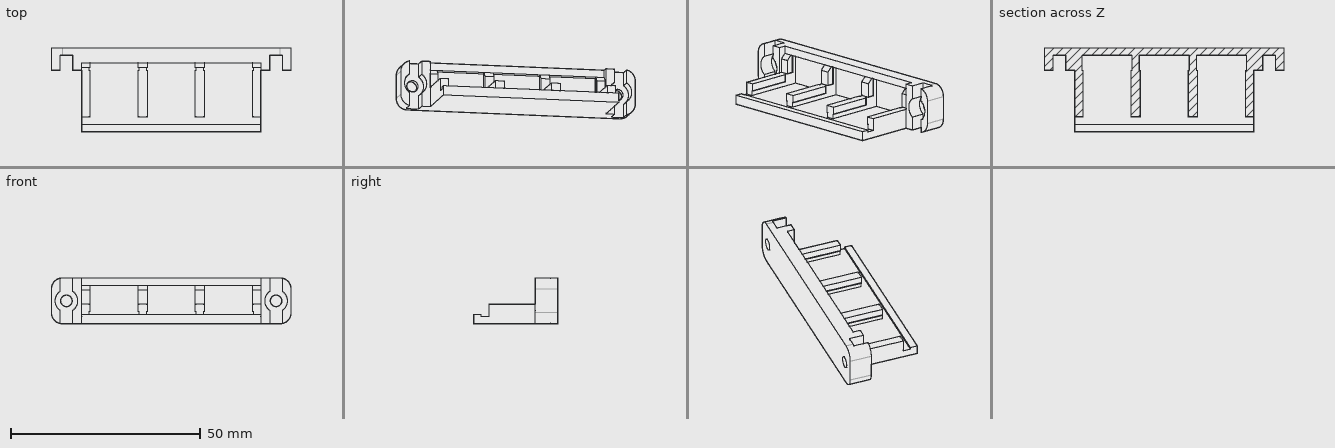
import cadquery as cq

flange_length = 63.45
flange_height = 12.2
flange_depth = 6.0
corner_radius = 3.0
plate_thickness = 2.0

end_block_length = 8.0
screw_inset = end_block_length / 2
screw_hole_diameter = 3.0
screw_head_diameter = 6.0
slot_width = 3.3

tray_length = flange_length - 2 * end_block_length
tray_reach = 22.25
floor_thickness = 2.0
lip_height = 2.5
lip_width = 2.0

top_bar_height = 2.0
top_bar_depth = 4.0
recess_top = flange_height - top_bar_height

divider_count = 4
web_width = 2.0
divider_spacing = (tray_length - web_width) / (divider_count - 1)
rail_width = 2.5
divider_height = 3.25
rail_top = floor_thickness + divider_height
rail_start = flange_depth
rail_end = 18.25
post_front = plate_thickness + divider_height
groove_width = 1.25


def box(x_min, x_max, depth_start, depth_end, z_min, z_max):
    """Block between two X values, two distances in front of the back face, and two heights."""
    size = (x_max - x_min, depth_end - depth_start, z_max - z_min)
    return cq.Workplane("XY").box(*size, centered=False).translate((x_min, -depth_end, z_min))


def centered_box(length, depth_start, depth_end, z_min, z_max):
    """Block centred on X = 0."""
    return box(-length / 2, length / 2, depth_start, depth_end, z_min, z_max)


def side_profile(width, points):
    """Extrude a (distance from back, height) outline to a width centred on X = 0."""
    outline = [(-depth, height) for depth, height in points]
    return cq.Workplane("YZ").polyline(outline).close().extrude(width / 2, both=True)


def make_flange():
    flange = centered_box(flange_length, 0, flange_depth, 0, flange_height)
    flange = flange.edges("|Y").fillet(corner_radius)
    recess = centered_box(tray_length, plate_thickness, flange_depth, floor_thickness, recess_top)
    above_bar = centered_box(tray_length, top_bar_depth, flange_depth, floor_thickness, flange_height)
    return flange.cut(recess).cut(above_bar)


def forward_cylinder(x, depth_start, diameter):
    """Cylinder at mid height, running forward out of the flange."""
    plane = cq.Workplane("XZ", origin=(x, -depth_start, flange_height / 2))
    return plane.circle(diameter / 2).extrude(flange_depth - depth_start)


def cut_screw_point(body, x):
    slot = box(x - slot_width / 2, x + slot_width / 2, plate_thickness, flange_depth, 0, flange_height)
    head_clearance = forward_cylinder(x, plate_thickness, screw_head_diameter)
    hole = forward_cylinder(x, 0, screw_hole_diameter)
    return body.cut(slot).cut(head_clearance).cut(hole)


def make_tray():
    floor = centered_box(tray_length, plate_thickness, tray_reach, 0, floor_thickness)
    lip = centered_box(tray_length, tray_reach - lip_width, tray_reach, 0, lip_height)
    return floor.union(lip)


def make_divider():
    post_shoulder = recess_top - (post_front - top_bar_depth)
    web = side_profile(web_width, [
        (plate_thickness, floor_thickness),
        (rail_end, floor_thickness),
        (rail_end, rail_top),
        (post_front, rail_top),
        (post_front, post_shoulder),
        (top_bar_depth, recess_top),
        (plate_thickness, recess_top),
    ])
    post = side_profile(rail_width, [
        (plate_thickness + groove_width, rail_top),
        (post_front, rail_top),
        (post_front, post_shoulder),
        (top_bar_depth, recess_top),
        (plate_thickness + groove_width, recess_top),
    ])
    rail = centered_box(rail_width, rail_start, rail_end, floor_thickness + groove_width, rail_top)
    return web.union(post).union(rail)


def make_dividers():
    """Evenly spaced dividers, the outer rails and posts trimmed flush with the tray sides."""
    divider = make_divider()
    tray_space = centered_box(tray_length, 0, tray_reach, 0, flange_height)
    dividers = cq.Workplane("XY")
    for index in range(divider_count):
        x = (index - (divider_count - 1) / 2) * divider_spacing
        dividers = dividers.add(divider.translate((x, 0, 0)).intersect(tray_space))
    return dividers.combine()


body = make_flange().union(make_tray()).union(make_dividers())
screw_x = flange_length / 2 - screw_inset
for x in (-screw_x, screw_x):
    body = cut_screw_point(body, x)
result = body